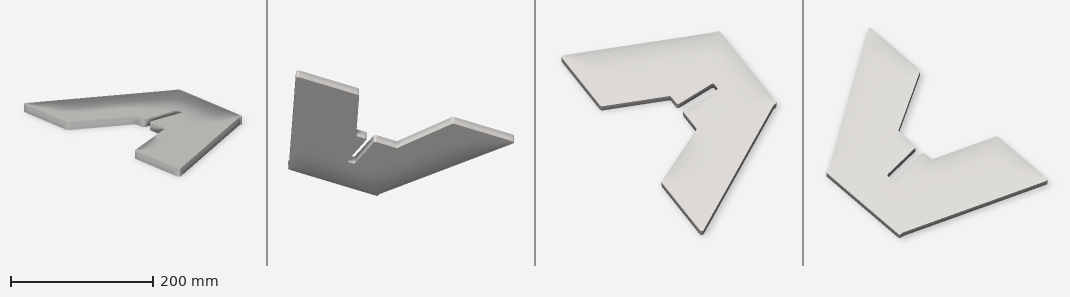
import cadquery as cq
import math

thickness = 12.0
height = 206.5
corner_radius = 3.0

top_width = 143.3
top_side_height = 6.0

foot_width = 100.0
left_foot_inner = 65.2
right_foot_inner = 83.3
inner_leg_angle = 25.0

opening_height = 90.0
slot_width = thickness
slot_depth = 61.5

half_top = top_width / 2
half_slot = slot_width / 2
shoulder_y = height - top_side_height
slot_top_y = opening_height + slot_depth
inner_leg_run = opening_height * math.tan(math.radians(inner_leg_angle))


def sharp_outline():
    """Corner points of the plate before rounding, clockwise from the left foot."""
    return [
        (-left_foot_inner - foot_width, 0),
        (-half_top, shoulder_y),
        (-half_top, height),
        (half_top, height),
        (half_top, shoulder_y),
        (right_foot_inner + foot_width, 0),
        (right_foot_inner, 0),
        (right_foot_inner - inner_leg_run, opening_height),
        (half_slot, opening_height),
        (half_slot, slot_top_y),
        (-half_slot, slot_top_y),
        (-half_slot, opening_height),
        (-left_foot_inner + inner_leg_run, opening_height),
        (-left_foot_inner, 0),
    ]


def make_plate():
    """Extrude the outline and round every upright corner."""
    plate = cq.Workplane("XY").polyline(sharp_outline()).close().extrude(thickness)
    return plate.edges("|Z").fillet(corner_radius)


result = make_plate()